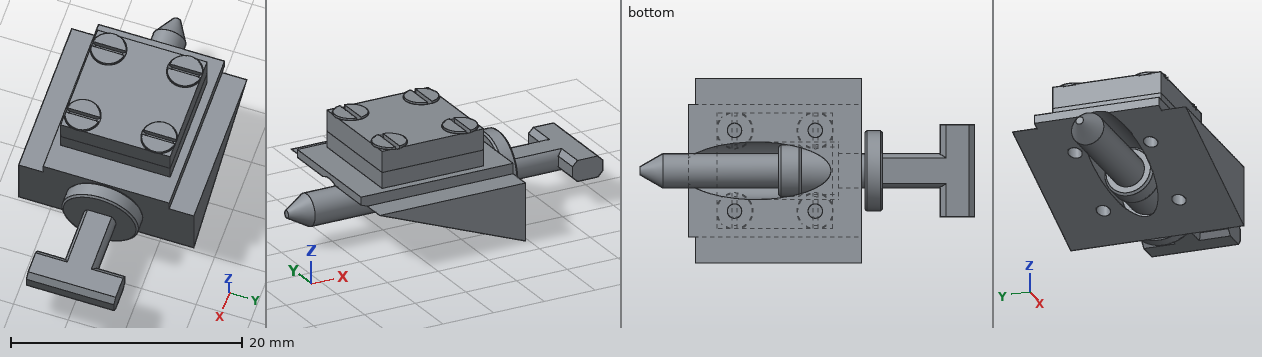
import cadquery as cq


WEDGE_LENGTH = 15.0
WEDGE_WIDTH = 16.0
WEDGE_BOTTOM_Z = -3.5
WEDGE_TOP_Z = 3.0
SLAB_WIDTH = 11.5
SLAB_HEIGHT = 1.0
FRONT_LIP = 0.75

PLATE_SIDE = 10.0
PAD_THICKNESS = 1.5
COVER_THICKNESS = 2.0
PLATE_CENTER_X = WEDGE_LENGTH / 2
PAD_TOP_Z = WEDGE_TOP_Z + PAD_THICKNESS
COVER_TOP_Z = PAD_TOP_Z + COVER_THICKNESS

SCREW_SPACING = 7.0
SHANK_DIAMETER = 1.25
HEAD_DIAMETER = 3.05
COUNTERSINK_DIAMETER = 3.2
HEAD_RISE = 0.15
SLOT_WIDTH = 0.44
SLOT_DEPTH = 0.5
SCREW_TIP_Z = WEDGE_TOP_Z - 1.5

ROD_DIAMETER = 3.0
TIP_X = -4.2
TIP_DIAMETER = 0.7
TIP_LENGTH = 2.0
SLEEVE_DIAMETER = 4.1
COLLAR_X = 7.8
COLLAR_DIAMETER = 4.5
COLLAR_LENGTH = 2.0
COLLAR_CHAMFER = (COLLAR_DIAMETER - SLEEVE_DIAMETER) / 2
FLANGE_GAP = 0.3
FLANGE_DIAMETER = 7.0
FLANGE_LENGTH = 1.5
FLANGE_CHAMFER = 0.17
PLUNGER_LENGTH = 29.0
HANDLE_THICKNESS = 2.0
HANDLE_LENGTH = 3.0
HANDLE_WIDTH = 8.0
HANDLE_CHAMFER = 0.5

BORE_DIAMETER = 5.0
BORE_WALL = 2.0
BORE_FLOOR_X = WEDGE_LENGTH - BORE_WALL


def x_cylinder(diameter, start_x, end_x):
    """Cylinder on the X axis."""
    return cq.Workplane("YZ", origin=(start_x, 0, 0)).circle(diameter / 2).extrude(end_x - start_x)


def at_screw_axes(shape):
    """One copy of the shape on each of the four screw axes."""
    half = SCREW_SPACING / 2
    return [
        shape.translate((PLATE_CENTER_X + side_x * half, side_y * half, 0))
        for side_x in (-1, 1)
        for side_y in (-1, 1)
    ]


def cut_all(body, tools):
    """The body with every tool cut out of it."""
    for tool in tools:
        body = body.cut(tool)
    return body


def make_shank(bottom_z, top_z):
    """Vertical cylinder that fits the screw holes, on the Z axis."""
    return cq.Workplane("XY", origin=(0, 0, bottom_z)).circle(SHANK_DIAMETER / 2).extrude(top_z - bottom_z)


def make_countersink():
    """45 degree cone that opens to the countersink diameter at the cover top, on the Z axis."""
    mouth_radius = COUNTERSINK_DIAMETER / 2
    return (
        cq.Workplane("XZ", origin=(0, 0, COVER_TOP_Z))
        .lineTo(mouth_radius, 0)
        .lineTo(0, -mouth_radius)
        .close()
        .revolve(360, (0, 0, 0), (0, 1, 0))
    )


def make_wedge():
    """Wedge with a raised centre strip, a stepped plunger bore and four screw holes."""
    shoulder_z = WEDGE_TOP_Z - SLAB_HEIGHT
    wedge = (
        cq.Workplane("XZ")
        .moveTo(0, WEDGE_TOP_Z)
        .lineTo(WEDGE_LENGTH, WEDGE_TOP_Z)
        .lineTo(WEDGE_LENGTH, WEDGE_BOTTOM_Z)
        .lineTo(0, WEDGE_TOP_Z - FRONT_LIP)
        .close()
        .extrude(WEDGE_WIDTH / 2, both=True)
    )
    shoulder_width = (WEDGE_WIDTH - SLAB_WIDTH) / 2
    for side in (-1, 1):
        shoulder_cut = cq.Workplane("XY").box(
            WEDGE_LENGTH, shoulder_width, SLAB_HEIGHT, centered=(False, True, False)
        )
        wedge = wedge.cut(shoulder_cut.translate((0, side * (SLAB_WIDTH + shoulder_width) / 2, shoulder_z)))
    wedge = wedge.cut(x_cylinder(BORE_DIAMETER, 0, BORE_FLOOR_X))
    wedge = wedge.cut(x_cylinder(ROD_DIAMETER, BORE_FLOOR_X, WEDGE_LENGTH))
    return cut_all(wedge, at_screw_axes(make_shank(WEDGE_BOTTOM_Z, WEDGE_TOP_Z)))


def make_plate(bottom_z, thickness):
    """Square plate with four plain screw holes."""
    plate = (
        cq.Workplane("XY", origin=(PLATE_CENTER_X, 0, bottom_z))
        .rect(PLATE_SIDE, PLATE_SIDE)
        .extrude(thickness)
    )
    return cut_all(plate, at_screw_axes(make_shank(bottom_z, bottom_z + thickness)))


def make_cover():
    """Upper plate with countersunk screw holes."""
    cover = make_plate(PAD_TOP_Z, COVER_THICKNESS)
    return cut_all(cover, at_screw_axes(make_countersink()))


def make_screw():
    """Slotted screw on the Z axis, seated in the countersink."""
    head_top_z = COVER_TOP_Z + HEAD_RISE
    rim_z = COVER_TOP_Z - (COUNTERSINK_DIAMETER - HEAD_DIAMETER) / 2
    rim = cq.Workplane("XY", origin=(0, 0, rim_z)).circle(HEAD_DIAMETER / 2).extrude(head_top_z - rim_z)
    below_rim = cq.Workplane("XY", origin=(0, 0, rim_z)).circle(HEAD_DIAMETER / 2).extrude(PAD_TOP_Z - rim_z)
    seat = make_countersink().intersect(below_rim)
    shank = make_shank(SCREW_TIP_Z, rim_z)
    slot = (
        cq.Workplane("XY", origin=(0, 0, head_top_z - SLOT_DEPTH))
        .rect(SLOT_WIDTH, HEAD_DIAMETER)
        .extrude(SLOT_DEPTH)
    )
    return shank.union(seat).union(rim).cut(slot)


def make_handle(end_x):
    """Octagonal cross bar with its +X face at end_x."""
    return (
        cq.Workplane("XZ", origin=(end_x - HANDLE_LENGTH / 2, 0, 0))
        .rect(HANDLE_LENGTH, HANDLE_THICKNESS)
        .extrude(HANDLE_WIDTH / 2, both=True)
        .edges("|Y")
        .chamfer(HANDLE_CHAMFER)
    )


def make_plunger():
    """Pointed rod with a collar, a sleeve, a flange and a cross handle, in one piece."""
    end_x = TIP_X + PLUNGER_LENGTH
    flange_x = WEDGE_LENGTH + FLANGE_GAP
    flange_end_x = flange_x + FLANGE_LENGTH
    handle_x = end_x - HANDLE_LENGTH / 2
    tip = (
        cq.Workplane("YZ", origin=(TIP_X, 0, 0))
        .circle(TIP_DIAMETER / 2)
        .workplane(offset=TIP_LENGTH)
        .circle(ROD_DIAMETER / 2)
        .loft()
    )
    rod = x_cylinder(ROD_DIAMETER, TIP_X + TIP_LENGTH, flange_end_x)
    collar_end_x = COLLAR_X + COLLAR_LENGTH
    collar = x_cylinder(COLLAR_DIAMETER, COLLAR_X, collar_end_x).edges("%CIRCLE").chamfer(COLLAR_CHAMFER)
    sleeve = x_cylinder(SLEEVE_DIAMETER, collar_end_x, BORE_FLOOR_X)
    flange = x_cylinder(FLANGE_DIAMETER, flange_x, flange_end_x).edges("%CIRCLE").chamfer(FLANGE_CHAMFER)
    flats = cq.Workplane("XY", origin=((flange_end_x + handle_x) / 2, 0, 0)).box(
        handle_x - flange_end_x, ROD_DIAMETER, HANDLE_THICKNESS
    )
    rear_rod = x_cylinder(ROD_DIAMETER, flange_end_x, handle_x).intersect(flats)
    plunger = tip
    for section in (rod, collar, sleeve, flange, rear_rod, make_handle(end_x)):
        plunger = plunger.union(section)
    return plunger


wedge = make_wedge()
pad = make_plate(WEDGE_TOP_Z, PAD_THICKNESS)
cover = make_cover()
plunger = make_plunger()
screws = at_screw_axes(make_screw())

result = cq.Compound.makeCompound(
    [wedge.val(), pad.val(), cover.val(), plunger.val(), *[screw.val() for screw in screws]]
)